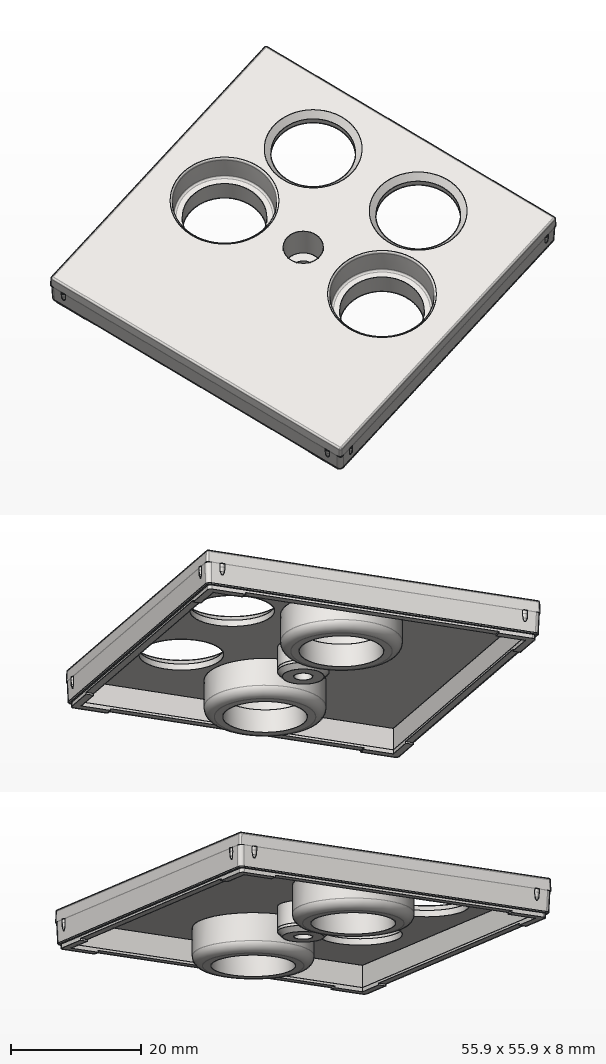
import cadquery as cq
import math

TOP_Z = 8.0
PLATE_THICKNESS = 2.0
PARTING_Z = TOP_Z - PLATE_THICKNESS
SKIRT_BOTTOM_Z = 2.45
LIP_BOTTOM_Z = 2.05
FOOT_BOTTOM_Z = 1.8

OVERALL_WIDTH = 55.9
COVER_WIDTH = 55.5
DRAFT_ANGLE = 2.0
PLATE_EDGE_RADIUS = 0.31
SKIRT_CORNER_RADIUS = 0.7
SKIRT_EDGE_CHAMFER = 0.15
CAVITY_WIDTH = 51.9

RING_WIDTH = 54.4
RING_CORNER_RADIUS = 0.55
FOOT_LENGTH = 6.15

SMALL_SPACING = 20.0
SMALL_Y = 16.05
PORT_RADIUS = 6.5
COUNTERSINK_RADIUS = 7.5
COUNTERSINK_DEPTH = 1.0

CUP_SPACING = 30.0
CUP_RADIUS = 9.35
CUP_BOTTOM_RADIUS = 1.55
CUP_EDGE_RADIUS = 0.35
CUP_RIM_RADIUS = 8.0
CUP_SLEEVE_RADIUS = CUP_RIM_RADIUS + CUP_EDGE_RADIUS
CUP_SEAT_RADIUS = 7.75
CUP_SEAT_Z = 3.7

WELL_RADIUS = 3.1
WELL_OUTER_RADIUS = 3.95
BUSH_BOTTOM_Z = 1.25
BUSH_CHAMFER = 0.8
SCREW_HOLE_TOP_RADIUS = 1.55
SCREW_HOLE_BOTTOM_RADIUS = 1.45

NIB_RADIUS = 0.5
NIB_NECK_RADIUS = 0.45
NIB_TIP_RADIUS = 0.2
NIB_OFFSET = 25.15
NIB_HEIGHT = 1.9
NIB_STRAIGHT_HEIGHT = 0.6
NIB_NECK_HEIGHT = 1.35

SIDES = (-1, 1)


def square_block(width, bottom_z, height, taper=0.0):
    return cq.Workplane("XY", origin=(0, 0, bottom_z)).rect(width, width).extrude(height, taper=taper)


def cylinder(radius, bottom_z, top_z, x=0.0, y=0.0):
    return cq.Workplane("XY", origin=(x, y, bottom_z)).circle(radius).extrude(top_z - bottom_z)


def turn(profile, x=0.0, y=0.0):
    """Revolve a closed radius-height profile about an upright axis at (x, y)."""
    return profile.revolve(360, (0, 0, 0), (0, 1, 0)).translate((x, y, 0))



def make_plate():
    """Top plate, drafted inward toward its top, with its outer edges rounded."""
    plate = square_block(COVER_WIDTH, PARTING_Z, PLATE_THICKNESS, DRAFT_ANGLE)
    return plate.edges("not <Z").fillet(PLATE_EDGE_RADIUS)


def make_skirt():
    """Skirt, drafted inward toward its bottom, with round corners and a chamfered lower edge."""
    skirt = square_block(COVER_WIDTH, PARTING_Z, SKIRT_BOTTOM_Z - PARTING_Z, DRAFT_ANGLE)
    skirt = skirt.edges("not(<Z or >Z)").fillet(SKIRT_CORNER_RADIUS)
    skirt = skirt.faces("<Z").edges().chamfer(SKIRT_EDGE_CHAMFER)
    return skirt.cut(square_block(CAVITY_WIDTH, SKIRT_BOTTOM_Z, PARTING_Z - SKIRT_BOTTOM_Z))


def make_nib(angle, along):
    """Upright peg that stands out of the skirt face and narrows into it at its lower end."""
    middle = OVERALL_WIDTH / 2 - NIB_RADIUS
    bottom_z = PARTING_Z - NIB_HEIGHT
    profile = (
        cq.Workplane("XZ")
        .moveTo(0, PARTING_Z)
        .lineTo(NIB_RADIUS, PARTING_Z)
        .lineTo(NIB_RADIUS, PARTING_Z - NIB_STRAIGHT_HEIGHT)
        .lineTo(NIB_NECK_RADIUS, PARTING_Z - NIB_NECK_HEIGHT)
        .lineTo(NIB_TIP_RADIUS, bottom_z)
        .lineTo(0, bottom_z)
        .close()
    )
    return turn(profile, middle, along).rotate((0, 0, 0), (0, 0, 1), angle)


def make_small_port(x):
    """Countersunk round opening through the plate."""
    profile = (
        cq.Workplane("XZ")
        .moveTo(0, PARTING_Z)
        .lineTo(PORT_RADIUS, PARTING_Z)
        .lineTo(PORT_RADIUS, TOP_Z - COUNTERSINK_DEPTH)
        .lineTo(COUNTERSINK_RADIUS, TOP_Z)
        .lineTo(0, TOP_Z)
        .close()
    )
    return turn(profile, x, SMALL_Y)


def make_cover():
    """Plate, skirt, nibs and well tube in one piece, with the openings for ports and cups."""
    cover = make_plate().union(make_skirt())
    for angle in (0, 90, 180, 270):
        for side in SIDES:
            cover = cover.union(make_nib(angle, side * NIB_OFFSET))

    cover = cover.union(cylinder(WELL_OUTER_RADIUS, SKIRT_BOTTOM_Z, PARTING_Z))
    cover = cover.cut(cylinder(WELL_RADIUS, SKIRT_BOTTOM_Z, TOP_Z))

    for side in SIDES:
        cover = cover.cut(make_small_port(side * SMALL_SPACING / 2))
        cover = cover.cut(cylinder(CUP_SLEEVE_RADIUS, PARTING_Z, TOP_Z, side * CUP_SPACING / 2))
    return cover



def make_base_ring():
    """Ring under the skirt, set in from its outside, with a low foot at each corner."""
    ring = square_block(RING_WIDTH, FOOT_BOTTOM_Z, SKIRT_BOTTOM_Z - FOOT_BOTTOM_Z)
    ring = ring.edges("|Z").fillet(RING_CORNER_RADIUS)
    ring = ring.cut(square_block(CAVITY_WIDTH, FOOT_BOTTOM_Z, SKIRT_BOTTOM_Z - FOOT_BOTTOM_Z))

    gap_length = RING_WIDTH - 2 * FOOT_LENGTH
    gap = cq.Workplane("XY", origin=(0, 0, FOOT_BOTTOM_Z)).rect(RING_WIDTH, gap_length)
    gap = gap.extrude(LIP_BOTTOM_Z - FOOT_BOTTOM_Z)
    return ring.cut(gap).cut(gap.rotate((0, 0, 0), (0, 0, 1), 90))



def make_cup(x):
    """Cup with a sleeve through the plate, a wider body below it and a round port in its floor."""
    edge_sag = CUP_EDGE_RADIUS * (1 - math.sqrt(0.5))
    bottom_sag = CUP_BOTTOM_RADIUS * (1 - math.sqrt(0.5))
    rim_middle = (CUP_RIM_RADIUS + edge_sag, TOP_Z - edge_sag)
    seat_middle = (CUP_SEAT_RADIUS - edge_sag, CUP_SEAT_Z + edge_sag)
    bottom_middle = (CUP_RADIUS - bottom_sag, bottom_sag)
    profile = (
        cq.Workplane("XZ")
        .moveTo(PORT_RADIUS, 0)
        .lineTo(PORT_RADIUS, CUP_SEAT_Z)
        .lineTo(CUP_SEAT_RADIUS - CUP_EDGE_RADIUS, CUP_SEAT_Z)
        .threePointArc(seat_middle, (CUP_SEAT_RADIUS, CUP_SEAT_Z + CUP_EDGE_RADIUS))
        .lineTo(CUP_RIM_RADIUS, TOP_Z - CUP_EDGE_RADIUS)
        .threePointArc(rim_middle, (CUP_SLEEVE_RADIUS, TOP_Z))
        .lineTo(CUP_SLEEVE_RADIUS, PARTING_Z)
        .lineTo(CUP_RADIUS, PARTING_Z)
        .lineTo(CUP_RADIUS, CUP_BOTTOM_RADIUS)
        .threePointArc(bottom_middle, (CUP_RADIUS - CUP_BOTTOM_RADIUS, 0))
        .close()
    )
    return turn(profile, x)



def make_bush():
    """Disc that closes the screw well, with a slightly tapered screw hole and a chamfered lower edge."""
    profile = (
        cq.Workplane("XZ")
        .moveTo(SCREW_HOLE_BOTTOM_RADIUS, BUSH_BOTTOM_Z)
        .lineTo(WELL_OUTER_RADIUS - BUSH_CHAMFER, BUSH_BOTTOM_Z)
        .lineTo(WELL_OUTER_RADIUS, BUSH_BOTTOM_Z + BUSH_CHAMFER)
        .lineTo(WELL_OUTER_RADIUS, SKIRT_BOTTOM_Z)
        .lineTo(SCREW_HOLE_TOP_RADIUS, SKIRT_BOTTOM_Z)
        .close()
    )
    return turn(profile)


cover = make_cover()
base_ring = make_base_ring()
cups = [make_cup(side * CUP_SPACING / 2) for side in SIDES]
bush = make_bush()

result = cq.Compound.makeCompound([cover.val(), base_ring.val(), *[cup.val() for cup in cups], bush.val()])